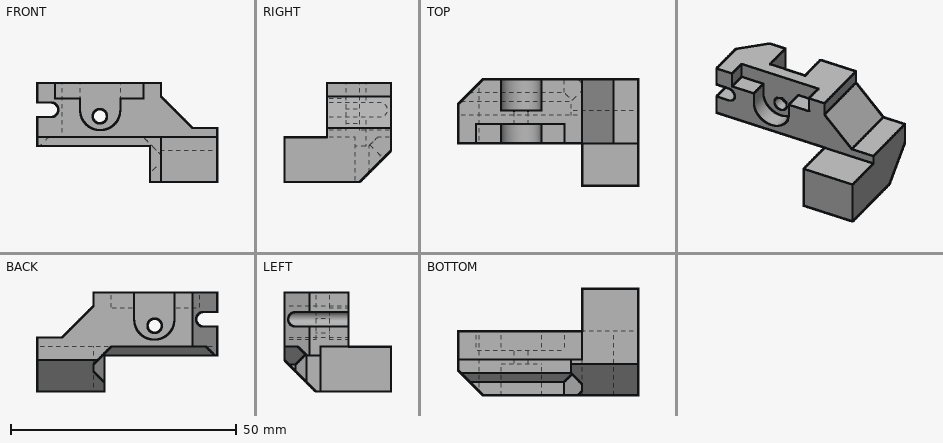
import cadquery as cq

length = 40.0
depth = 23.7
height = 22.0

body_front = 9.4
body_bottom = 10.0
block_left = 27.5
ledge_top = 12.0
slope_size = 6.95
corner_chamfer = 5.5
back_chamfer = 6.95

rib_front = 15.7
rib_back = 18.7
rib_bottom = 8.0
stem_chamfer = 2.5
stem_left = block_left - stem_chamfer
gusset_bottom = 6.0

notch_width = 3.2
notch_end = 4.7
notch_z = 16.05
pocket_x = 14.0
pocket_width = 8.9
pocket_bottom = 11.5
front_pocket_depth = 4.3
rear_pocket_depth = 6.95
shelf_left = 4.0
shelf_right = 23.55
shelf_height = 3.5
hole_diameter = 3.1
hole_x = 13.9
hole_z = 14.6


def box(x0, x1, y0, y1, z0, z1):
    """Box between opposite corners."""
    return cq.Workplane("XY").box(x1 - x0, y1 - y0, z1 - z0, centered=False).translate((x0, y0, z0))


def extrude_y(profile, y0, y1):
    """Extrude an XZ sketch, drawn at y = 0, between two Y positions."""
    return profile.extrude(-(y1 - y0)).translate((0, y0, 0))


def upper_body():
    profile = cq.Workplane("XZ").polyline([
        (0, body_bottom),
        (length, body_bottom),
        (length, ledge_top),
        (block_left + slope_size, ledge_top),
        (block_left, ledge_top + slope_size),
        (block_left, height),
        (0, height),
    ]).close()
    return extrude_y(profile, body_front, depth)


def rib():
    """Rib along X whose back face slopes up to the body at 45 degrees."""
    rib_height = body_bottom - rib_bottom
    profile = cq.Workplane("YZ").polyline([
        (rib_front, rib_bottom),
        (rib_back, rib_bottom),
        (rib_back + rib_height, body_bottom),
        (rib_front, body_bottom),
    ]).close()
    return profile.extrude(block_left)


def stem():
    """Stem behind the block, with its left side cut back at 45 degrees."""
    return cq.Workplane("XY").polyline([
        (stem_left, rib_front),
        (length, rib_front),
        (length, depth),
        (block_left, depth),
        (block_left, rib_back + stem_chamfer),
        (stem_left, rib_back),
    ]).close().extrude(body_bottom)


def gusset():
    """45 degree web between the underside of the body and the stem."""
    size = body_bottom - gusset_bottom
    profile = cq.Workplane("XZ").polyline([
        (block_left, gusset_bottom),
        (block_left, body_bottom),
        (block_left - size, body_bottom),
    ]).close()
    return extrude_y(profile, rib_back, depth)


def corner_cut():
    return cq.Workplane("XY").polyline([
        (0, depth - corner_chamfer),
        (corner_chamfer, depth),
        (0, depth),
    ]).close().extrude(height)


def back_cut():
    return cq.Workplane("YZ").polyline([
        (depth - back_chamfer, 0),
        (depth, 0),
        (depth, back_chamfer),
    ]).close().extrude(length)


def end_notch():
    radius = notch_width / 2
    center_x = notch_end - radius
    profile = (
        cq.Workplane("XZ")
        .moveTo(0, notch_z - radius)
        .lineTo(center_x, notch_z - radius)
        .threePointArc((notch_end, notch_z), (center_x, notch_z + radius))
        .lineTo(0, notch_z + radius)
        .close()
    )
    return extrude_y(profile, 0, depth)


def u_pocket(y0, y1):
    """Round-bottomed pocket open at the top."""
    radius = pocket_width / 2
    center_z = pocket_bottom + radius
    profile = (
        cq.Workplane("XZ")
        .moveTo(pocket_x - radius, height)
        .lineTo(pocket_x - radius, center_z)
        .threePointArc((pocket_x, pocket_bottom), (pocket_x + radius, center_z))
        .lineTo(pocket_x + radius, height)
        .close()
    )
    return extrude_y(profile, y0, y1)


shelf = box(
    shelf_left, shelf_right, body_front, body_front + front_pocket_depth, height - shelf_height, height
)
pivot_hole = extrude_y(
    cq.Workplane("XZ").center(hole_x, hole_z).circle(hole_diameter / 2), 0, depth
)

result = (
    upper_body()
    .union(box(block_left, length, 0, rib_front, 0, body_bottom))
    .union(rib())
    .union(stem())
    .union(gusset())
    .cut(corner_cut())
    .cut(back_cut())
    .cut(end_notch())
    .cut(shelf)
    .cut(u_pocket(body_front, body_front + front_pocket_depth))
    .cut(u_pocket(depth - rear_pocket_depth, depth))
    .cut(pivot_hole)
)